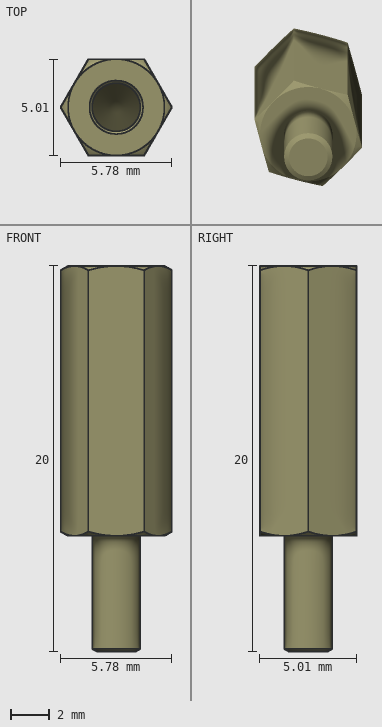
import cadquery as cq
import math

ACROSS_CORNERS = 5.78
BODY_LENGTH = 14.0
FACE_DIAMETER = 5.0
CORNER_CHAMFER_ANGLE = 30.0

THREAD_DIAMETER = 2.5
STUD_LENGTH = 6.0
STUD_TIP_DIAMETER = 2.0
STUD_TIP_ANGLE = 30.0

HOLE_DEPTH = 8.0
DRILL_TIP_ANGLE = 118.0
MOUTH_DIAMETER = 2.78
MOUTH_ANGLE = 60.0


def revolve_profile(points):
    """Revolve a closed (radius, z) profile about the Z axis."""
    return cq.Workplane("XZ").polyline(points).close().revolve(360, (0, 0, 0), (0, 1, 0))


def make_body():
    """Hexagonal prism with its corners turned conical at both ends."""
    prism = cq.Workplane("XY").polygon(6, ACROSS_CORNERS).extrude(BODY_LENGTH)
    face_radius = FACE_DIAMETER / 2
    turned_radius = ACROSS_CORNERS
    slope = math.tan(math.radians(CORNER_CHAMFER_ANGLE))
    drop = (turned_radius - face_radius) * slope
    turned_envelope = revolve_profile([
        (0, 0),
        (face_radius, 0),
        (turned_radius, drop),
        (turned_radius, BODY_LENGTH - drop),
        (face_radius, BODY_LENGTH),
        (0, BODY_LENGTH),
    ])
    return prism.intersect(turned_envelope)


def make_stud():
    """Round stud with a chamfered lower end."""
    stud_radius = THREAD_DIAMETER / 2
    tip_radius = STUD_TIP_DIAMETER / 2
    chamfer_height = (stud_radius - tip_radius) * math.tan(math.radians(STUD_TIP_ANGLE))
    return revolve_profile([
        (0, -STUD_LENGTH),
        (tip_radius, -STUD_LENGTH),
        (stud_radius, chamfer_height - STUD_LENGTH),
        (stud_radius, 0),
        (0, 0),
    ])


def make_hole():
    """Blind hole with a conical drill tip and a countersunk mouth."""
    hole_radius = THREAD_DIAMETER / 2
    shoulder_z = BODY_LENGTH - HOLE_DEPTH
    tip_length = hole_radius / math.tan(math.radians(DRILL_TIP_ANGLE / 2))
    mouth_radius = MOUTH_DIAMETER / 2
    mouth_depth = (mouth_radius - hole_radius) / math.tan(math.radians(MOUTH_ANGLE / 2))
    return revolve_profile([
        (0, shoulder_z - tip_length),
        (hole_radius, shoulder_z),
        (hole_radius, BODY_LENGTH - mouth_depth),
        (mouth_radius, BODY_LENGTH),
        (0, BODY_LENGTH),
    ])


result = make_body().union(make_stud()).cut(make_hole())